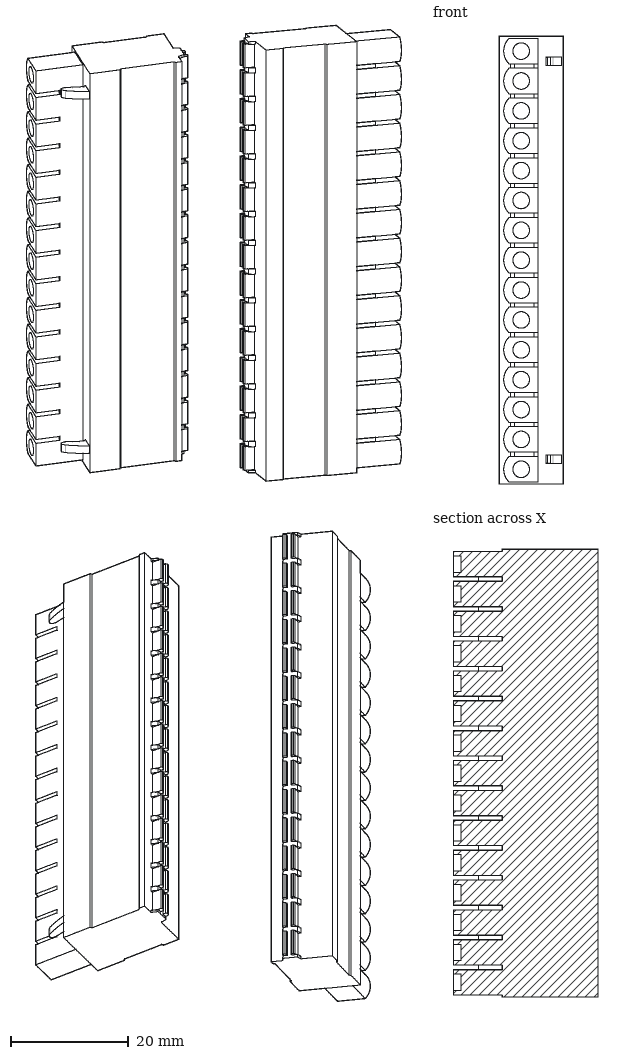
import cadquery as cq


length = 76.2
width = 10.9
total_depth = 26.5
pole_count = 15
pitch = length / pole_count

socket_length = 8.3
tab_height = 1.9

housing_depth = total_depth - socket_length - tab_height
relief_depth = 0.3
relief_step_run = 0.2
relief_front = 5.3
left_relief_back = 13.25
right_relief_back = 15.25

socket_height = 4.35
socket_left = 0.8
socket_right = 6.6
socket_bulge = 0.9
bore_diameter = 2.8
bore_depth = 1.3
bore_x = 3.7

web_length = 4.05
web_spans = [(1.9, 2.6), (5.95, socket_right)]

rail_height = 1.15
rail_base = (5.6, 8.85)
rail_crest = (5.9, 8.4)
tab_left = 6.1
tab_right = rail_crest[1]
prong_width = 0.8
prong_chamfer = 0.2
tab_gap = 0.9

latch_width = 1.45
latch_inset = 4.3

pole_heights = [(i + 0.5) * pitch for i in range(pole_count)]
gap_heights = [z + pitch / 2 for z in pole_heights[:-1]]


def box(x_range, y_range, z_range):
    """Box spanning the given (low, high) ranges."""
    lows, highs = zip(x_range, y_range, z_range)
    sizes = [high - low for low, high in zip(lows, highs)]
    return cq.Workplane("XY").box(*sizes, centered=False).translate(lows)


def prism(points, bottom, height):
    """Closed XY outline extruded upwards from Z = bottom."""
    return cq.Workplane("XY").workplane(offset=bottom).polyline(points).close().extrude(height)


def make_relief(wall_x, floor_x, back):
    """Full-length shallow channel with sloped end steps, from a side wall to its floor."""
    outline = [
        (wall_x, relief_front),
        (floor_x, relief_front + relief_step_run),
        (floor_x, back - relief_step_run),
        (wall_x, back),
    ]
    return prism(outline, 0, length)


def make_housing():
    """Long block with a shallow relief down each side."""
    block = box((0, width), (0, housing_depth), (0, length))
    left_relief = make_relief(0, relief_depth, left_relief_back)
    right_relief = make_relief(width, width - relief_depth, right_relief_back)
    return block.cut(left_relief).cut(right_relief)


def make_socket(z):
    """Socket with an arched left side and a blind round bore in its front face."""
    half_height = socket_height / 2
    arch_start = socket_left + socket_bulge
    front = cq.Workplane("XZ", origin=(0, 0, z))
    body = (
        front.moveTo(socket_right, -half_height)
        .lineTo(socket_right, half_height)
        .lineTo(arch_start, half_height)
        .threePointArc((socket_left, 0), (arch_start, -half_height))
        .close()
        .extrude(socket_length)
    )
    bore = (
        front.workplane(offset=socket_length)
        .center(bore_x, 0)
        .circle(bore_diameter / 2)
        .extrude(-bore_depth)
    )
    return body.cut(bore)


def make_webs(z):
    """Pair of short webs filling the gap centred at height z."""
    half_gap = (pitch - socket_height) / 2
    left, right = [box(span, (-web_length, 0), (z - half_gap, z + half_gap)) for span in web_spans]
    return left.add(right)


def make_rail_segment(bottom, top):
    """Piece of the sloped-side rail behind the housing."""
    crest_y = housing_depth + rail_height
    outline = [
        (rail_base[0], housing_depth),
        (rail_crest[0], crest_y),
        (rail_crest[1], crest_y),
        (rail_base[1], housing_depth),
    ]
    return prism(outline, bottom, top - bottom)


def make_tab(z):
    """Upright tab behind one pole, ending in two chamfered prongs."""
    base_y = housing_depth
    notch_y = housing_depth + rail_height
    tip_y = housing_depth + tab_height
    shoulder_y = tip_y - prong_chamfer
    inner_left = tab_left + prong_width
    inner_right = tab_right - prong_width
    outline = [
        (tab_left, base_y),
        (tab_left, shoulder_y),
        (tab_left + prong_chamfer, tip_y),
        (inner_left - prong_chamfer, tip_y),
        (inner_left, shoulder_y),
        (inner_left, notch_y),
        (inner_right, notch_y),
        (inner_right, shoulder_y),
        (inner_right + prong_chamfer, tip_y),
        (tab_right - prong_chamfer, tip_y),
        (tab_right, shoulder_y),
        (tab_right, base_y),
    ]
    tab_length = pitch - tab_gap
    return prism(outline, z - tab_length / 2, tab_length)


def make_latch(z):
    """Tapering hook, rounded on its outer side, reaching forward from the housing."""
    root = (10.6, 0)
    outer_flank = (9.8, -2.3)
    outer_shoulder = (9.15, -3.8)
    tip = [(8.7, -4.35), (8.2, -4.35), (7.9, -3.6)]
    inner_side = [(8.2, -2.3), (8.45, -1.15), (8.45, -0.3), (8.15, 0)]
    return (
        cq.Workplane("XY", origin=(0, 0, z - latch_width / 2))
        .moveTo(*root)
        .threePointArc(outer_flank, outer_shoulder)
        .polyline(tip + inner_side, includeCurrent=True)
        .close()
        .extrude(latch_width)
    )


features = [make_socket(z) for z in pole_heights]
features += [make_webs(z) for z in gap_heights]
features += [make_tab(z) for z in pole_heights]
features += [make_latch(z) for z in (latch_inset, length - latch_inset)]

half_segment = tab_gap / 2
features += [make_rail_segment(z - half_segment, z + half_segment) for z in gap_heights]
features += [make_rail_segment(0, half_segment), make_rail_segment(length - half_segment, length)]

solids = [solid for feature in features for solid in feature.vals()]
result = cq.Workplane(make_housing().val().fuse(*solids)).clean()